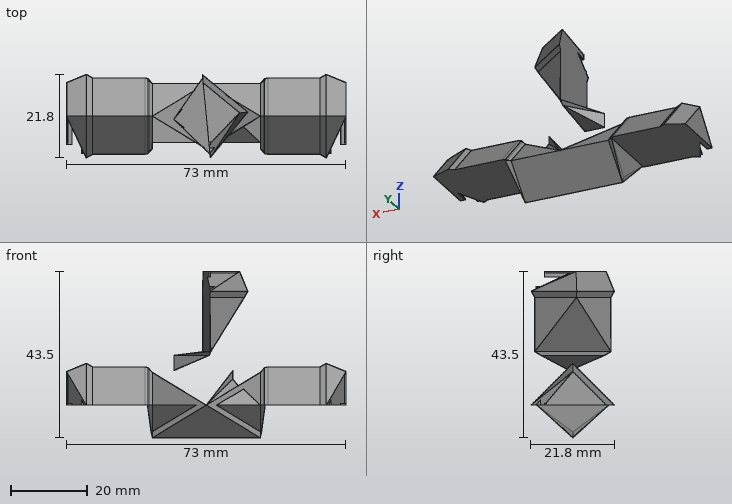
import cadquery as cq
import math


run_half_length = 36.5
branch_height = 34.9
branch_twist = 5.5

core_half_length = 14.1
core_radius = 8.55
bore_radius = 6.9

peak_radius = 10.9
barrel_radius = 10.0
lip_radius = 9.7
end_radius = 8.75
plate_short_side = 7.45
knee_outer_radius = 9.8
knee_inner_radius = 9.4

plate_strip_width = 1.45
lip_start = 3.95
lip_end = 4.4
peak_start = 5.1
peak_width = 0.15
barrel_start = 6.8
barrel_end = 20.45
knee_outer = 21.3
knee_inner = 21.6
branch_barrel_end = 20.95
shoulder_end = run_half_length - core_half_length

sheet_thickness = 0.45

wedge_start = 21.1
wedge_edge_radius = 9.4
wedge_tip = 22.05
wedge_tip_radius = 7.0

stub_edge_radius = 8.4
stub_top = 21.9
stub_depth = 4.0
barrel_foot = 0.2

fin_tip_x = 6.9
fin_tip_z = 9.0
fin_shoulder_z = 6.8
fin_foot_x = 8.4

facet_top_x = 9.7
facet_top_z = 4.15

tolerance = 7.3e-07


def convex_face(points, normal):
    """Planar face through coplanar points, put in order around their centre."""
    centre = sum(points, cq.Vector()) / len(points)
    across = (points[0] - centre).normalized()
    along = normal.cross(across)
    points = sorted(points, key=lambda p: math.atan2((p - centre).dot(along), (p - centre).dot(across)))
    return cq.Face.makeFromWires(cq.Wire.makePolygon(points, close=True))


def hull(corners):
    """Convex solid with the given corner points."""
    points = [cq.Vector(*corner) for corner in corners]
    planes = []
    faces = []
    count = len(points)
    triples = [(i, j, k) for i in range(count) for j in range(i) for k in range(j)]
    for i, j, k in triples:
        normal = (points[j] - points[i]).cross(points[k] - points[i])
        if normal.Length < tolerance:
            continue
        normal = normal.normalized()
        heights = [(p - points[i]).dot(normal) for p in points]
        if min(heights) < -tolerance and max(heights) > tolerance:
            continue
        on_plane = {n for n, height in enumerate(heights) if abs(height) < tolerance}
        if on_plane not in planes:
            planes.append(on_plane)
            faces.append(convex_face([points[n] for n in on_plane], normal))
    return cq.Workplane(cq.Solid.makeSolid(cq.Shell.makeShell(faces)).fix())


def half_section(station, radius):
    """Triangular half section of a collar: two corners on the axis plane and one ridge corner."""
    x = station - run_half_length
    return [(x, radius, 0), (x, -radius, 0), (x, 0, radius)]


def segment(start, start_radius, finish, finish_radius):
    """Collar stretch between two triangular sections."""
    return hull(half_section(start, start_radius) + half_section(finish, finish_radius))


def collar_head():
    """Outer end of a collar: slanted nose, end plate, lip, peak ring and flare."""
    end_x = -run_half_length
    end_corner = (end_x, end_radius, 0)
    end_ridge = (end_x, 0, end_radius)

    nose = hull(half_section(peak_start, peak_radius) + [end_corner, end_ridge, (end_x, 0, 0)])
    plate_outline = [(end_radius, 0), (0, end_radius), (-plate_short_side, 0)]
    plate = cq.Workplane("YZ", origin=(end_x, 0, 0)).polyline(plate_outline).close().extrude(sheet_thickness)
    strip = cq.Workplane(origin=(end_x, -plate_short_side, 0)).box(
        plate_strip_width, plate_short_side, sheet_thickness, centered=False)
    lip = segment(lip_start, lip_radius, lip_end, lip_radius)
    lip_neck = segment(lip_end, lip_radius, peak_start, lip_radius)
    peak_end = peak_start + peak_width
    ring = segment(peak_start, peak_radius, peak_end, peak_radius)
    flare = segment(peak_end, peak_radius, barrel_start, barrel_radius)
    end_piece = nose.union(plate.union(strip))
    return end_piece.union(lip).union(lip_neck).union(ring).union(flare)


def run_collar():
    """Collar on the -X end of the run."""
    barrel = segment(barrel_start, barrel_radius, barrel_end, barrel_radius)
    shoulder = (
        segment(barrel_end, barrel_radius, knee_outer, knee_outer_radius)
        .union(segment(knee_outer, knee_outer_radius, knee_inner, knee_inner_radius))
        .union(segment(knee_inner, knee_inner_radius, shoulder_end, core_radius))
    )
    wedge_x = wedge_start - run_half_length
    wedge = hull([
        (wedge_x, wedge_edge_radius, 0),
        (wedge_x, -wedge_edge_radius, 0),
        (-core_half_length, core_radius, 0),
        (-core_half_length, -core_radius, 0),
        (-core_half_length, 0, -core_radius),
        (wedge_tip - run_half_length, 0, -wedge_tip_radius),
    ])
    return collar_head().union(barrel).union(shoulder).union(wedge)


def branch_collar():
    """Collar on the branch: its barrel tapers to a flat edge, with a pointed stub behind it."""
    barrel_x = branch_barrel_end - run_half_length
    stub_x = stub_top - run_half_length
    barrel_edge = [(barrel_x, y, z) for y in (-barrel_radius, barrel_radius) for z in (0, barrel_foot)]
    barrel = hull(half_section(barrel_start, barrel_radius) + barrel_edge)
    stub_section = [(stub_x, stub_edge_radius, 0), (stub_x, -stub_edge_radius, 0), (stub_x, 0, -core_radius)]
    stub_neck = hull(barrel_edge + stub_section)
    stub = hull(stub_section + [(stub_x + stub_depth, 0, -core_radius)])
    lying = collar_head().union(barrel).union(stub_neck).union(stub)
    upright = lying.rotate((0, 0, 0), (0, 1, 0), 90)
    twisted = upright.rotate((0, 0, 0), (0, 0, 1), branch_twist)
    return twisted.translate((0, 0, branch_height - run_half_length))


def twist_point(radius, z):
    """Point on the twisted branch at the given distance from its axis, toward +X."""
    angle = math.radians(branch_twist)
    return (radius * math.cos(angle), radius * math.sin(angle), z)


def tee_core():
    """Lower half of the run tube, notched upper corners, side pockets and a fin."""
    front_waist = (0, -core_radius, 0)
    back_waist = (0, core_radius, 0)
    bore_x = core_half_length * (1 - bore_radius / core_radius)
    lower_outline = [(-core_radius, 0), (core_radius, 0), (0, -core_radius)]
    core = cq.Workplane("YZ").polyline(lower_outline).close().extrude(core_half_length, both=True)

    for side in (-1, 1):
        end_x = side * core_half_length
        pocket = hull([
            (end_x, -core_radius, 0),
            front_waist,
            (end_x, 0, -core_radius),
            (end_x, -bore_radius, 0),
            (side * bore_x, -bore_radius, 0),
            (end_x, 0, -bore_radius),
        ])
        upper_corner = hull([
            (end_x, 0, core_radius),
            front_waist,
            back_waist,
            (end_x, core_radius, 0),
            (end_x, 0, 0),
        ])
        core = core.cut(pocket).union(upper_corner)

    bore_facet = hull([
        (bore_x, -bore_radius, 0),
        (core_half_length, -bore_radius, 0),
        (facet_top_x, facet_top_z - bore_radius, facet_top_z),
        (core_half_length, 0, 0),
    ])

    fin_foot = twist_point(fin_foot_x, 0)
    fin_foot = (fin_foot[0], fin_foot[1], fin_foot[0] * core_radius / core_half_length)
    fin_shoulder = twist_point(fin_tip_x, fin_shoulder_z)
    fin_tip = hull([front_waist, back_waist, twist_point(fin_tip_x, fin_tip_z), fin_shoulder])
    fin_base = hull([front_waist, back_waist, fin_shoulder, fin_foot])
    return core.union(bore_facet).union(fin_base).union(fin_tip)


core = tee_core()
left_collar = run_collar()
right_collar = left_collar.mirror("YZ")
top_collar = branch_collar()

bodies = [core, left_collar, right_collar, top_collar]
result = cq.Compound.makeCompound([body.solids().val() for body in bodies])